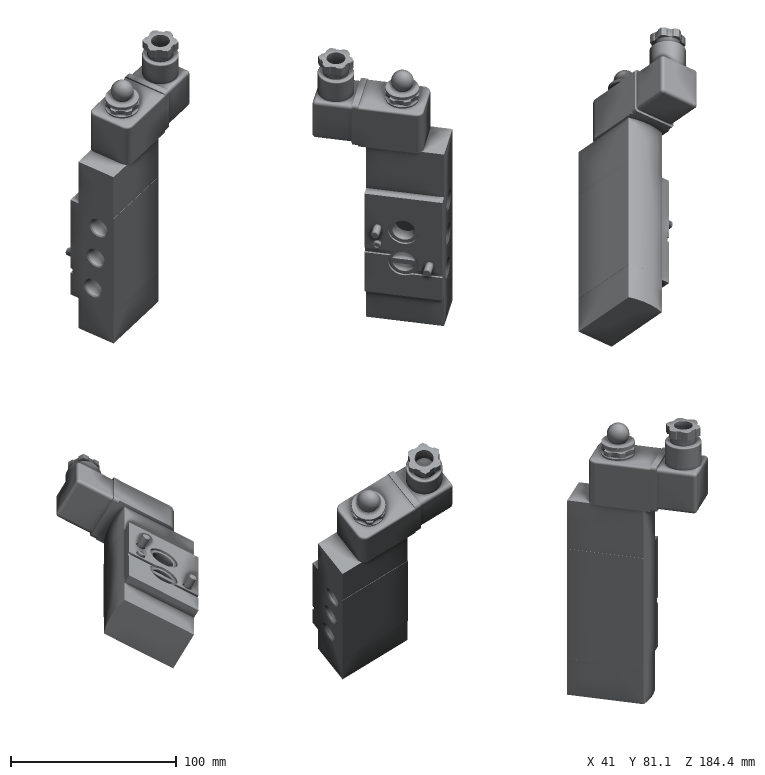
import cadquery as cq
import math

OVERALL_HEIGHT = 184.4

VALVE_DEPTH = 48.0
BULGE_HEIGHT = 2.0
CAP_RIGHT_X = 13.0
BODY_RIGHT_X = 13.3
CAP_LEFT_X = -12.7
MOUNTING_FACE_X = -18.5
BODY_BOTTOM_Z = 23.8
BODY_TOP_Z = 98.3
PILOT_TOP_Z = 130.9
BODY_MID_Z = (BODY_BOTTOM_Z + BODY_TOP_Z) / 2
BODY_MID_Y = VALVE_DEPTH / 2

PORT_DIAMETER = 12.0
PORT_MOUTH_DIAMETER = 13.5
PORT_DEPTH = 22.1
PORT_PITCH_Z = 24.5
PORT_STEP_X = 2.0

OUTLET_DIAMETER = 14.2
OUTLET_DEPTH = 10.0
SEAL_RECESS_DIAMETER = 18.8
SEAL_RECESS_DEPTH = 1.3
INTERFACE_PITCH_Z = 24.0
INTERFACE_PITCH_Y = 32.0
WEB_WIDTH = 3.5
GROOVE_WIDTH = 3.5
GROOVE_OFFSET_Z = 6.3
OUTLET_OFFSET_Z = INTERFACE_PITCH_Z / 2
UPPER_OUTLET_Z = BODY_MID_Z + OUTLET_OFFSET_Z
LOWER_OUTLET_Z = BODY_MID_Z - OUTLET_OFFSET_Z

STUD_DIAMETER = 5.0
STUD_CHAMFER = 0.46
STUD_EMBEDMENT = 10.0
STUD_HOLE_DIAMETER = 6.0
SCREW_PROTRUSION = 7.5
PIN_PROTRUSION = 1.8
PIN_SOCKET_DIAMETER = 3.0
PIN_SOCKET_DEPTH = 1.0
FAR_STUD_Y = BODY_MID_Y + INTERFACE_PITCH_Y / 2
NEAR_STUD_Y = BODY_MID_Y - INTERFACE_PITCH_Y / 2
SCREW_PLACES = [(FAR_STUD_Y, UPPER_OUTLET_Z), (NEAR_STUD_Y, LOWER_OUTLET_Z)]

COIL_WIDTH = 29.7
COIL_FRONT_Y = 13.0
COIL_BACK_Y = 52.5
COIL_TOP_Z = 160.0
COIL_CORNER_RADIUS = 4.8
COIL_EDGE_RADIUS = 1.3
GASKET_WIDTH = 29.9
GASKET_BACK_Y = 56.5
GASKET_TOP_Z = 161.1
GASKET_CORNER_RADIUS = 2.0

CONNECTOR_WIDTH = 27.8
CONNECTOR_BACK_Y = 81.1
CONNECTOR_BOTTOM_Z = 132.4
CONNECTOR_TOP_Z = 159.5
CONNECTOR_EDGE_RADIUS = 2.0
GLAND_Y = 69.1
GLAND_DIAMETER = 22.1
GLAND_TOP_Z = 174.2
GLAND_EDGE_RADIUS = 0.7
GLAND_NECK_DIAMETER = 16.0
GLAND_NUT_BOTTOM_Z = 178.8
NUT_SIDES = 6
GLAND_NUT_CORNER_DIAMETER = 21.8
GLAND_NUT_NOTCH_FLOOR_WIDTH = 3.1
GLAND_NUT_NOTCH_MOUTH_WIDTH = 4.2
GLAND_NUT_NOTCH_DEPTH = 0.7
CABLE_HOLE_DIAMETER = 11.5
CABLE_HOLE_DEPTH = 10.0

NUT_Y = 28.2
NUT_DIAMETER = 20.3
NUT_CORE_DIAMETER = 16.0
NUT_WAIST_DIAMETER = 17.3
NUT_WASHER_TOP_Z = 161.1
GRIP_BOTTOM_Z = 161.7
GRIP_TOP_Z = 164.6
NUT_FLANGE_BOTTOM_Z = 166.5
NUT_FLANGE_TOP_Z = 168.5
GRIP_LOBES = 6
GRIP_LAND_HALF_ANGLE = math.radians(10)
GRIP_SCALLOP_RADIUS = 8.3
BALL_DIAMETER = 13.6
BALL_TOP_Z = 180.1


def box(x_range, y_range, z_range):
    """Box between the given limits along X, Y and Z."""
    sizes = [high - low for low, high in (x_range, y_range, z_range)]
    corner = (x_range[0], y_range[0], z_range[0])
    return cq.Workplane().box(*sizes, centered=False).translate(corner)


def upright_cylinder(y, diameter, bottom_z, top_z):
    """Cylinder along Z on the centre plane X = 0."""
    return cq.Workplane("XY", origin=(0, y, bottom_z)).circle(diameter / 2).extrude(top_z - bottom_z)


def cylinder_into_face(y, z, start_x, diameter, depth):
    """Cylinder along +X that starts at start_x."""
    return cq.Workplane("YZ", origin=(start_x, y, z)).circle(diameter / 2).extrude(depth)


def bulged_block(right_x, bottom_z, top_z):
    """Valve section with a flat port side and a gently bulged back."""
    middle_x = (CAP_LEFT_X + right_x) / 2
    return (
        cq.Workplane("XY", origin=(0, 0, bottom_z))
        .moveTo(CAP_LEFT_X, 0)
        .lineTo(right_x, 0)
        .lineTo(right_x, VALVE_DEPTH)
        .threePointArc((middle_x, VALVE_DEPTH + BULGE_HEIGHT), (CAP_LEFT_X, VALVE_DEPTH))
        .close()
        .extrude(top_z - bottom_z)
    )


def threaded_port(x, z):
    """Blind port into the -Y face with a 45 degree chamfered mouth."""
    bore_radius = PORT_DIAMETER / 2
    mouth_radius = PORT_MOUTH_DIAMETER / 2
    chamfer = mouth_radius - bore_radius
    return (
        cq.Workplane("XY")
        .polyline([
            (0, 0), (mouth_radius, 0), (bore_radius, chamfer), (bore_radius, PORT_DEPTH), (0, PORT_DEPTH),
        ])
        .close()
        .revolve(360, (0, 0, 0), (0, 1, 0))
        .translate((x, 0, z))
    )


def outlet(z):
    """Blind outlet bore with a shallow seal recess around it."""
    bore = cylinder_into_face(BODY_MID_Y, z, MOUNTING_FACE_X, OUTLET_DIAMETER, OUTLET_DEPTH)
    recess = cylinder_into_face(BODY_MID_Y, z, MOUNTING_FACE_X, SEAL_RECESS_DIAMETER, SEAL_RECESS_DEPTH)
    return bore.union(recess)


def outlet_web():
    """Bar across the lower outlet, level with the floor of its seal recess."""
    return box(
        (MOUNTING_FACE_X + SEAL_RECESS_DEPTH, MOUNTING_FACE_X + OUTLET_DEPTH),
        (BODY_MID_Y - OUTLET_DIAMETER / 2, BODY_MID_Y + OUTLET_DIAMETER / 2),
        (LOWER_OUTLET_Z - WEB_WIDTH / 2, LOWER_OUTLET_Z + WEB_WIDTH / 2),
    )


def interface_groove(y_range, z):
    """Shallow groove along Y in the mounting face."""
    return box(
        (MOUNTING_FACE_X, MOUNTING_FACE_X + SEAL_RECESS_DEPTH),
        y_range,
        (z - GROOVE_WIDTH / 2, z + GROOVE_WIDTH / 2),
    )


def stud_hole(y, z):
    """Blind clearance hole whose floor carries a screw or the pin."""
    return cylinder_into_face(y, z, MOUNTING_FACE_X, STUD_HOLE_DIAMETER, STUD_EMBEDMENT)


def make_body():
    flange = box((MOUNTING_FACE_X, BODY_RIGHT_X), (0, VALVE_DEPTH), (BODY_BOTTOM_Z, BODY_TOP_Z))
    body = bulged_block(BODY_RIGHT_X, BODY_BOTTOM_Z, BODY_TOP_Z).union(flange)
    for step in (-1, 0, 1):
        body = body.cut(threaded_port(step * PORT_STEP_X, BODY_MID_Z + step * PORT_PITCH_Z))
    for z in (UPPER_OUTLET_Z, LOWER_OUTLET_Z):
        body = body.cut(outlet(z))
    body = body.union(outlet_web())
    body = body.cut(interface_groove((BODY_MID_Y, VALVE_DEPTH), LOWER_OUTLET_Z + GROOVE_OFFSET_Z))
    body = body.cut(interface_groove((0, BODY_MID_Y), LOWER_OUTLET_Z - GROOVE_OFFSET_Z))
    for y, z in SCREW_PLACES + [(FAR_STUD_Y, BODY_MID_Z)]:
        body = body.cut(stud_hole(y, z))
    return body


def make_stud(y, z, protrusion):
    """Round stud standing out of the mounting face with a chamfered tip."""
    start_x = MOUNTING_FACE_X - protrusion
    stud = cylinder_into_face(y, z, start_x, STUD_DIAMETER, protrusion + STUD_EMBEDMENT)
    return stud.faces("<X").chamfer(STUD_CHAMFER)


def make_locating_pin():
    pin = make_stud(FAR_STUD_Y, BODY_MID_Z, PIN_PROTRUSION)
    tip_x = MOUNTING_FACE_X - PIN_PROTRUSION
    return pin.cut(cylinder_into_face(FAR_STUD_Y, BODY_MID_Z, tip_x, PIN_SOCKET_DIAMETER, PIN_SOCKET_DEPTH))


def make_coil():
    half_width = COIL_WIDTH / 2
    coil = box((-half_width, half_width), (COIL_FRONT_Y, COIL_BACK_Y), (PILOT_TOP_Z, COIL_TOP_Z))
    coil = coil.edges("|Z and <Y").fillet(COIL_CORNER_RADIUS)
    coil = coil.faces(">Z").edges("not(>Y)").fillet(COIL_EDGE_RADIUS)
    gasket_half_width = GASKET_WIDTH / 2
    gasket = box(
        (-gasket_half_width, gasket_half_width), (COIL_BACK_Y, GASKET_BACK_Y), (PILOT_TOP_Z, GASKET_TOP_Z)
    )
    return coil.union(gasket.edges("|Y").fillet(GASKET_CORNER_RADIUS))


def make_gland_nut():
    """Hexagon nut with a notch across the middle of each flat."""
    flat_radius = GLAND_NUT_CORNER_DIAMETER / 2 * math.cos(math.pi / NUT_SIDES)
    height = OVERALL_HEIGHT - GLAND_NUT_BOTTOM_Z
    nut = (
        cq.Workplane("XY")
        .polygon(NUT_SIDES, GLAND_NUT_CORNER_DIAMETER)
        .extrude(height)
        .rotate((0, 0, 0), (0, 0, 1), 180 / NUT_SIDES)
    )
    floor_radius = flat_radius - GLAND_NUT_NOTCH_DEPTH
    notch = (
        cq.Workplane("XY")
        .polyline([
            (flat_radius, -GLAND_NUT_NOTCH_MOUTH_WIDTH / 2),
            (flat_radius, GLAND_NUT_NOTCH_MOUTH_WIDTH / 2),
            (floor_radius, GLAND_NUT_NOTCH_FLOOR_WIDTH / 2),
            (floor_radius, -GLAND_NUT_NOTCH_FLOOR_WIDTH / 2),
        ])
        .close()
        .extrude(height)
    )
    for flat in range(NUT_SIDES):
        nut = nut.cut(notch.rotate((0, 0, 0), (0, 0, 1), flat * 360 / NUT_SIDES))
    return nut.translate((0, GLAND_Y, GLAND_NUT_BOTTOM_Z))


def make_connector():
    half_width = CONNECTOR_WIDTH / 2
    plug = box(
        (-half_width, half_width), (GASKET_BACK_Y, CONNECTOR_BACK_Y), (CONNECTOR_BOTTOM_Z, CONNECTOR_TOP_Z)
    )
    plug = plug.edges("|Y or >Y").fillet(CONNECTOR_EDGE_RADIUS)
    plug_mid_z = (CONNECTOR_BOTTOM_Z + CONNECTOR_TOP_Z) / 2
    gland = upright_cylinder(GLAND_Y, GLAND_DIAMETER, plug_mid_z, GLAND_TOP_Z)
    gland = gland.faces(">Z").edges().fillet(GLAND_EDGE_RADIUS)
    neck = upright_cylinder(GLAND_Y, GLAND_NECK_DIAMETER, GLAND_TOP_Z, GLAND_NUT_BOTTOM_Z)
    cable_hole = upright_cylinder(
        GLAND_Y, CABLE_HOLE_DIAMETER, OVERALL_HEIGHT - CABLE_HOLE_DEPTH, OVERALL_HEIGHT
    )
    return plug.union(gland).union(neck).union(make_gland_nut()).cut(cable_hole)


def make_grip_ring():
    """Finger grip of the coil nut: round lands with hollow scallops between them."""
    radius = NUT_DIAMETER / 2
    lobe_angle = 2 * math.pi / GRIP_LOBES

    def rim_point(distance, angle):
        return (distance * math.cos(angle), distance * math.sin(angle))

    first_land = lobe_angle / 2
    outline = cq.Workplane("XY").moveTo(*rim_point(radius, first_land - GRIP_LAND_HALF_ANGLE))
    for lobe in range(GRIP_LOBES):
        land = first_land + lobe * lobe_angle
        next_land = land + lobe_angle
        outline = outline.threePointArc(
            rim_point(radius, land), rim_point(radius, land + GRIP_LAND_HALF_ANGLE)
        ).threePointArc(
            rim_point(GRIP_SCALLOP_RADIUS, land + lobe_angle / 2),
            rim_point(radius, next_land - GRIP_LAND_HALF_ANGLE),
        )
    return outline.close().extrude(GRIP_TOP_Z - GRIP_BOTTOM_Z).translate((0, NUT_Y, GRIP_BOTTOM_Z))


def make_coil_nut():
    washer = upright_cylinder(NUT_Y, NUT_DIAMETER, COIL_TOP_Z, NUT_WASHER_TOP_Z)
    core = upright_cylinder(NUT_Y, NUT_CORE_DIAMETER, NUT_WASHER_TOP_Z, GRIP_TOP_Z)
    waist_radius = NUT_WAIST_DIAMETER / 2
    waist = (
        cq.Workplane("XZ")
        .moveTo(0, GRIP_TOP_Z)
        .lineTo(waist_radius, GRIP_TOP_Z)
        .threePointArc(
            (NUT_CORE_DIAMETER / 2, (GRIP_TOP_Z + NUT_FLANGE_BOTTOM_Z) / 2),
            (waist_radius, NUT_FLANGE_BOTTOM_Z),
        )
        .lineTo(0, NUT_FLANGE_BOTTOM_Z)
        .close()
        .revolve(360, (0, 0, 0), (0, 1, 0))
        .translate((0, NUT_Y, 0))
    )
    flange = upright_cylinder(NUT_Y, NUT_DIAMETER, NUT_FLANGE_BOTTOM_Z, NUT_FLANGE_TOP_Z)
    ball_radius = BALL_DIAMETER / 2
    ball = cq.Workplane("XY").sphere(ball_radius).translate((0, NUT_Y, BALL_TOP_Z - ball_radius))
    return washer.union(core).union(make_grip_ring()).union(waist).union(flange).union(ball)


def make_solenoid():
    return make_coil().union(make_connector()).union(make_coil_nut())


lower_cap = bulged_block(CAP_RIGHT_X, 0, BODY_BOTTOM_Z)
body = make_body()
pilot_block = bulged_block(CAP_RIGHT_X, BODY_TOP_Z, PILOT_TOP_Z)
screws = [make_stud(y, z, SCREW_PROTRUSION) for y, z in SCREW_PLACES]
locating_pin = make_locating_pin()
solenoid = make_solenoid()

result = cq.Compound.makeCompound([
    lower_cap.val(),
    body.val(),
    pilot_block.val(),
    *[screw.val() for screw in screws],
    locating_pin.val(),
    solenoid.val(),
])